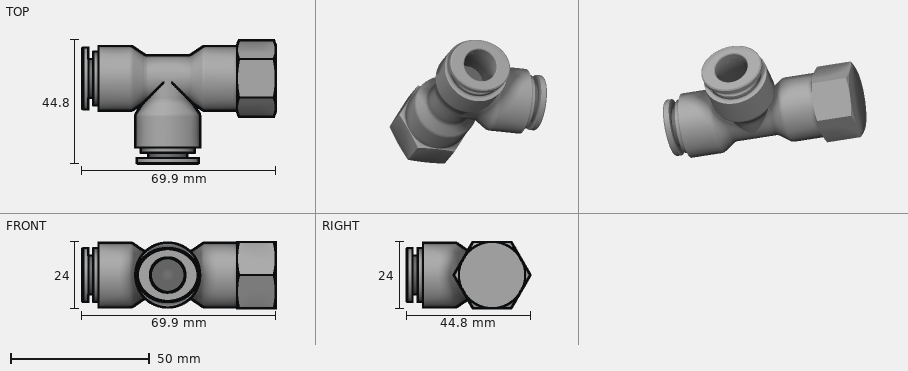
import cadquery as cq


barrel_diameter = 23.5
neck_diameter = 16.8
barrel_end = 25.0
neck_end = 8.0
barrel_start = 13.0
taper_blend_radius = 2.0

tube_bore_diameter = 12.2
collar_bore_diameter = 12.18
bore_floor = barrel_start

collar_diameter = 19.6
collar_length = 1.95
collar_edge_chamfer = 0.2
collar_end = barrel_end + collar_length

sleeve_neck_diameter = 14.2
sleeve_neck_length = 1.7
flange_width = 22.5
flange_height = 19.6
flange_chamfer = 0.45
bore_mouth_chamfer = 0.3
port_end = 30.9
flange_start = collar_end + sleeve_neck_length
flange_thickness = port_end - flange_start

hex_across_flats = 24.0
hex_across_corners = hex_across_flats / (3 ** 0.5 / 2)
hex_length = 14.0
hex_corner_chamfer = 0.7

arm_planes = {
    "left": cq.Plane(origin=(0, 0, 0), xDir=(0, 1, 0), normal=(-1, 0, 0)),
    "branch": cq.Plane(origin=(0, 0, 0), xDir=(1, 0, 0), normal=(0, -1, 0)),
    "right": cq.Plane(origin=(0, 0, 0), xDir=(0, 1, 0), normal=(1, 0, 0)),
}
port_names = ["left", "branch"]


def lay_along(shape, arm_name):
    """Move a shape modelled along +Z onto the named arm."""
    return cq.Workplane(obj=shape.solids().val().moved(cq.Location(arm_planes[arm_name])))


def cylinder(diameter, start, end):
    return cq.Workplane("XY").workplane(offset=start).circle(diameter / 2).extrude(end - start)


def make_arm():
    """Neck flaring into the barrel, with both corners of the taper blended."""
    neck_radius = neck_diameter / 2
    barrel_radius = barrel_diameter / 2
    profile = [
        (0, 0),
        (neck_radius, 0),
        (neck_radius, neck_end),
        (barrel_radius, barrel_start),
        (barrel_radius, barrel_end),
        (0, barrel_end),
    ]
    arm = cq.Workplane("XZ").polyline(profile).close().revolve(360, (0, 0), (0, 1))
    margin = taper_blend_radius / 2
    taper_edges = cq.selectors.BoxSelector(
        (-barrel_diameter, -barrel_diameter, neck_end - margin),
        (barrel_diameter, barrel_diameter, barrel_start + margin),
        boundingbox=True,
    )
    return arm.edges("%CIRCLE").edges(taper_edges).fillet(taper_blend_radius)


def make_tee_body():
    arm = make_arm()
    body = lay_along(arm, "left").union(lay_along(arm, "right")).union(lay_along(arm, "branch"))
    socket = cylinder(tube_bore_diameter, bore_floor, barrel_end)
    for port in port_names:
        body = body.cut(lay_along(socket, port))
    return body


def make_collar():
    ring = cylinder(collar_diameter, barrel_end, collar_end)
    ring = ring.faces(">Z").edges().chamfer(collar_edge_chamfer)
    return ring.cut(cylinder(collar_bore_diameter, barrel_end, collar_end))


def make_sleeve():
    flange = (
        cq.Workplane("XY")
        .workplane(offset=flange_start)
        .ellipse(flange_width / 2, flange_height / 2)
        .extrude(flange_thickness)
    )
    flange = flange.faces(">Z").edges().chamfer(flange_chamfer)
    sleeve = flange.union(cylinder(sleeve_neck_diameter, collar_end, flange_start))
    sleeve = sleeve.cut(cylinder(tube_bore_diameter, collar_end, port_end))
    return sleeve.faces(">Z").edges("%CIRCLE").chamfer(bore_mouth_chamfer)


def make_hex_end():
    """Hexagon with flats facing +Z and -Z, its corners turned down at both ends."""
    flat_radius = hex_across_flats / 2
    corner_radius = hex_across_corners / 2
    hexagon = cq.Workplane("XY").polygon(6, hex_across_corners).extrude(hex_length)
    turned_profile = [
        (0, 0),
        (flat_radius, 0),
        (corner_radius, hex_corner_chamfer),
        (corner_radius, hex_length - hex_corner_chamfer),
        (flat_radius, hex_length),
        (0, hex_length),
    ]
    turned = cq.Workplane("XZ").polyline(turned_profile).close().revolve(360, (0, 0), (0, 1))
    return hexagon.intersect(turned).translate((0, 0, barrel_end))


tee_body = make_tee_body()
collars = [lay_along(make_collar(), port) for port in port_names]
sleeves = [lay_along(make_sleeve(), port) for port in port_names]
hex_end = lay_along(make_hex_end(), "right")

result = cq.Compound.makeCompound(
    [
        tee_body.solids().val(),
        *[collar.val() for collar in collars],
        *[sleeve.val() for sleeve in sleeves],
        hex_end.val(),
    ]
)